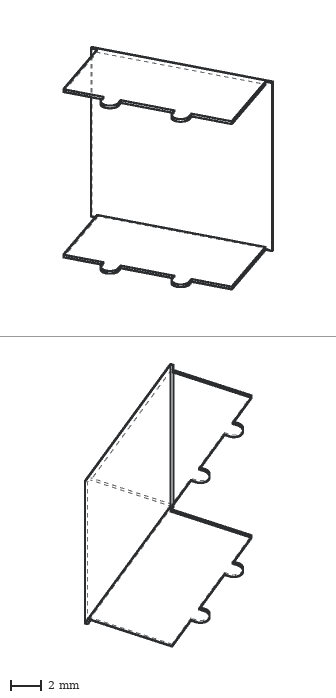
import cadquery as cq

sheet = 0.203
width = 13.0
depth = 7.24
height = 12.7

flange_width = 12.08
tab_length = 1.02
tab_width = 1.24
tab_pitch = 5.08

flange_depth = depth - tab_length
tab_radius = tab_width / 2


def make_back_plate():
    """Plate parallel to XZ, centred on Z = 0, with its back face at Y = 0."""
    plate = cq.Workplane("XY").box(width, sheet, height, centered=(True, False, True))
    return plate.translate((0, -sheet, 0))


def make_tab(center_x):
    """Tab from the flange's front edge to the full depth, ending in a half circle."""
    left_x = center_x - tab_radius
    right_x = center_x + tab_radius
    root_y = -flange_depth
    arc_start_y = -depth + tab_radius
    return (
        cq.Workplane("XY")
        .moveTo(left_x, root_y)
        .lineTo(left_x, arc_start_y)
        .threePointArc((center_x, -depth), (right_x, arc_start_y))
        .lineTo(right_x, root_y)
        .close()
        .extrude(sheet)
    )


def make_flange(bottom_z):
    """Horizontal flange with its two tabs, lower face at bottom_z."""
    flange = cq.Workplane("XY").box(flange_width, flange_depth, sheet, centered=(True, False, False))
    flange = flange.translate((0, -flange_depth, 0))
    for center_x in (-tab_pitch / 2, tab_pitch / 2):
        flange = flange.union(make_tab(center_x))
    return flange.translate((0, 0, bottom_z))


result = make_back_plate()
for flange_bottom_z in (-height / 2, height / 2 - sheet):
    result = result.union(make_flange(flange_bottom_z))